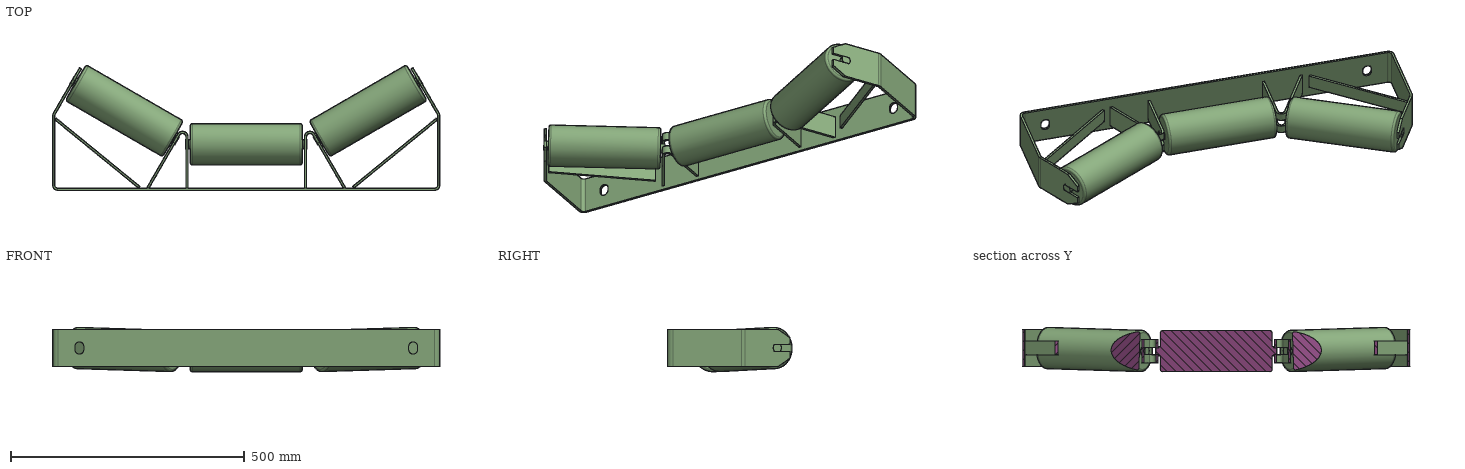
import cadquery as cq
import math

plate = 5.0
bend_inner_radius = 7.0
knee_inner_radius = 10.0

frame_length = 830.0
frame_height = 80.0
knee_height = 163.0
leaning_leg_length = 115.5
tip_chamfer_along = 30.0
tip_chamfer_across = 18.0
mount_slot_spacing = 715.0
mount_slot_width = 19.0
mount_slot_length = 26.0

trough_angle = 30.0
side_tilt = 1.55
shell_diameter = 89.0
shell_length = 240.0
shell_fillet = 5.0
shell_gap = 4.5
side_inner_gap = 3.7
axle_diameter = 20.0
axle_flat_width = 15.0
axle_flat_clearance = 0.5
axle_protrusion = 0.5
middle_roller_y = 99.0
middle_roller_z = -6.75
side_roller_along_leg = 83.7
side_roller_z = 0.0

bracket_bend_radius = 7.0
bracket_top = 18.3
bracket_bottom = -31.7

brace_angle = 39.2
brace_wall_height = 155.0
brace_top = 15.0
brace_bottom = -15.0

axle_stub = shell_gap + plate + axle_protrusion
axle_shoulder = side_inner_gap - axle_flat_clearance
half_length = frame_length / 2
sin_trough = math.sin(math.radians(trough_angle))
cos_trough = math.cos(math.radians(trough_angle))
tan_trough = math.tan(math.radians(trough_angle))

shell_to_face = shell_gap + plate
side_end_x = -half_length + side_roller_along_leg * sin_trough + shell_to_face * cos_trough
side_end_y = knee_height + side_roller_along_leg * cos_trough - shell_to_face * sin_trough


def mirrored(body):
    return body.mirror("YZ")


def place_middle(body):
    return body.translate((-shell_length / 2, middle_roller_y, middle_roller_z))


def place_left(body):
    """Lean a body built along +X from the outer shell end into the left trough position."""
    tilted = body.rotate((0, 0, 0), (0, 1, 0), side_tilt)
    turned = tilted.rotate((0, 0, 0), (0, 0, 1), -trough_angle)
    return turned.translate((side_end_x, side_end_y, side_roller_z))


def bent_strip(face, bend_radii, bottom, top):
    """Strip along an outer-face polyline, the metal lying to the left of the travel direction.

    bend_radii holds the inner radius of each bend along the polyline.
    """
    headings = []
    for (x0, y0), (x1, y1) in zip(face, face[1:]):
        headings.append(math.atan2(y1 - y0, x1 - x0))
    before = headings[:1] + headings
    after = headings + headings[-1:]
    inner = []
    for (x, y), a, b in zip(face, before, after):
        mitre = plate / math.cos((b - a) / 2)
        normal = (a + b) / 2 + math.pi / 2
        inner.append((x + mitre * math.cos(normal), y + mitre * math.sin(normal)))
    strip = cq.Workplane("XY", origin=(0, 0, bottom)).polyline(face + inner[::-1]).close().extrude(top - bottom)
    middle = (bottom + top) / 2
    for i, radius in enumerate(bend_radii, start=1):
        for (x, y), r in ((face[i], radius + plate), (inner[i], radius)):
            strip = strip.edges(cq.selectors.NearestToPointSelector((x, y, middle))).fillet(r)
    return strip


def make_bar(start, end):
    """Round axle bar along X."""
    return cq.Workplane("YZ", origin=(start, 0, 0)).circle(axle_diameter / 2).extrude(end - start)


def make_flatted_bar(start, end):
    """Axle bar with its upper and lower sides cut flat."""
    flats = cq.Workplane("YZ", origin=(start, 0, 0)).rect(axle_diameter, axle_flat_width).extrude(end - start)
    return make_bar(start, end).intersect(flats)


def make_roller():
    """Roller along +X, with its first shell end at the origin."""
    shell = cq.Workplane("YZ").circle(shell_diameter / 2).extrude(shell_length).edges().fillet(shell_fillet)
    axle = make_bar(-axle_shoulder, shell_length + axle_shoulder)
    flatted = make_flatted_bar(-axle_stub, shell_length + axle_stub)
    return shell.union(axle).union(flatted)


def make_slot(start, end):
    """Cutter for an axle slot, open towards +Y."""
    channel = (
        cq.Workplane("YZ", origin=(start, 0, 0))
        .center(shell_diameter / 2, 0)
        .rect(shell_diameter, axle_flat_width)
        .extrude(end - start)
    )
    return make_flatted_bar(start, end).union(channel)


slot_reach = shell_gap + plate + bracket_bend_radius
outer_slot = make_slot(-slot_reach, 0)
inner_slot = make_slot(shell_length, shell_length + slot_reach)


def make_frame():
    tip_x = half_length - leaning_leg_length * sin_trough
    tip_y = knee_height + leaning_leg_length * cos_trough
    face = [
        (-tip_x, tip_y),
        (-half_length, knee_height),
        (-half_length, 0),
        (half_length, 0),
        (half_length, knee_height),
        (tip_x, tip_y),
    ]
    radii = [knee_inner_radius, bend_inner_radius, bend_inner_radius, knee_inner_radius]
    frame = bent_strip(face, radii, -frame_height / 2, frame_height / 2)

    chamfer_y = tip_chamfer_along * cos_trough
    for side in (1, -1):
        corner = (
            cq.Workplane("YZ", origin=(-frame_length, 0, 0))
            .moveTo(tip_y, side * frame_height / 2)
            .lineTo(tip_y - chamfer_y, side * frame_height / 2)
            .lineTo(tip_y, side * (frame_height / 2 - tip_chamfer_across))
            .close()
            .extrude(2 * frame_length)
        )
        frame = frame.cut(corner)

    left_slot = place_left(outer_slot)
    frame = frame.cut(left_slot).cut(mirrored(left_slot))
    mount_slots = (
        cq.Workplane("XZ")
        .pushPoints([(-mount_slot_spacing / 2, 0), (mount_slot_spacing / 2, 0)])
        .slot2D(mount_slot_length, mount_slot_width, 90)
        .extrude(-plate)
    )
    return frame.cut(mount_slots)


def make_left_bracket():
    upright_x = -shell_length / 2 - shell_gap
    reach = shell_length + side_inner_gap
    lean_x = side_end_x + reach * cos_trough
    lean_y = side_end_y - reach * sin_trough
    foot_x = lean_x - (lean_y - plate) * tan_trough
    apex_y = lean_y + (upright_x - lean_x) / tan_trough
    face = [(upright_x, plate), (upright_x, apex_y), (foot_x, plate)]
    bracket = bent_strip(face, [bracket_bend_radius], bracket_bottom, bracket_top)
    below = cq.Workplane("XY").box(frame_length, plate * 4, frame_height * 2).translate((0, -plate, 0))
    return bracket.cut(below).cut(place_left(inner_slot)).cut(place_middle(outer_slot))


def make_left_brace():
    slope = math.radians(brace_angle)
    wall_x = -half_length + plate
    drop = brace_wall_height - plate - plate * math.cos(slope)
    brace_length = drop / math.sin(slope)
    brace = cq.Workplane("XY", origin=(0, 0, brace_bottom)).rect(
        brace_length, plate, centered=False).extrude(brace_top - brace_bottom)
    brace = brace.rotate((0, 0, 0), (0, 0, 1), -brace_angle)
    return brace.translate((wall_x, brace_wall_height - plate * math.cos(slope), 0))


frame = make_frame()
left_bracket = make_left_bracket()
left_brace = make_left_brace()
roller = make_roller()
middle_roller = place_middle(roller)
left_roller = place_left(roller)

bodies = [frame, middle_roller]
for body in (left_roller, left_bracket, left_brace):
    bodies += [body, mirrored(body)]

result = cq.Compound.makeCompound([body.val() for body in bodies])